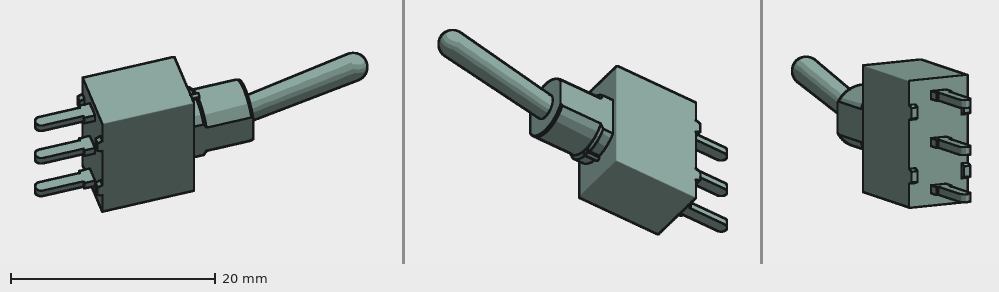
import cadquery as cq
import math

case_width = 6.6
case_height = 12.7
case_depth = 9.45
cover_thickness = 0.8
edge_radius = 0.13

foot_width = 0.7
foot_root_height = 1.5
foot_tip_height = 1.05
foot_length = 0.5
foot_offset_z = 3.18

terminal_pitch = 4.7
terminal_thickness = 0.8
terminal_width = 1.2
terminal_length = 5.87
shoulder_width = 1.7
shoulder_length = 1.1

bushing_diameter = 6.2
bushing_length = 6.25
bushing_chamfer_length = 0.2
bushing_chamfer_depth = 0.08
flat_spacing = 5.25
collar_diameter = 6.86
collar_length = 1.45
collar_chamfer = 0.3
key_width = 0.55
key_span = 7.7
key_crown = 0.2

lever_tilt = 13.2
pivot_diameter = 2.54
tip_radius = 1.4
overall_length = 34.05
tip_center_y = overall_length - case_depth - terminal_length - tip_radius
lever_length = (tip_center_y - bushing_length) / math.cos(math.radians(lever_tilt))


def post(diameter, length):
    """A round post standing on the mounting face and pointing to +Y."""
    return cq.Workplane("XZ").circle(diameter / 2).extrude(-length)


def block(width, height, y_back, y_front):
    """A block centred on the Y axis between two Y positions."""
    return cq.Workplane("XZ", origin=(0, y_front, 0)).rect(width, height).extrude(y_front - y_back)


def make_cover():
    """The plate on the +Y end of the case, rounded around its mounting face."""
    plate = block(case_width, case_height, -cover_thickness, 0)
    return plate.edges("|Y").fillet(edge_radius).faces(">Y").edges().fillet(edge_radius)


def make_foot(side, z):
    """A standoff foot, flush with the case side and tapered in Z toward its tip."""
    half_root = foot_root_height / 2
    half_tip = foot_tip_height / 2
    outline = [(0, -half_root), (-foot_length, -half_tip), (-foot_length, half_tip), (0, half_root)]
    center_x = side * (case_width - foot_width) / 2
    foot = cq.Workplane("YZ", origin=(center_x - foot_width / 2, -case_depth, z))
    return foot.polyline(outline).close().extrude(foot_width)


def make_terminal(z):
    """A terminal that stands on the case end and points to -Y."""
    half_shoulder = shoulder_width / 2
    half_blade = terminal_width / 2
    tip_start = half_blade - terminal_length
    blade = cq.Workplane("XY", origin=(0, -case_depth, z - terminal_thickness / 2))
    return (
        blade.moveTo(-half_shoulder, 0)
        .lineTo(-half_shoulder, -shoulder_length)
        .lineTo(-half_blade, -shoulder_length)
        .lineTo(-half_blade, tip_start)
        .threePointArc((0, -terminal_length), (half_blade, tip_start))
        .lineTo(half_blade, -shoulder_length)
        .lineTo(half_shoulder, -shoulder_length)
        .lineTo(half_shoulder, 0)
        .close()
        .extrude(terminal_thickness)
    )


def make_base():
    """The case below the cover plate, with its four feet."""
    base = block(case_width, case_height, -case_depth, -cover_thickness)
    base = base.edges("|Y").fillet(edge_radius)
    for side in (-1, 1):
        for z in (-foot_offset_z, foot_offset_z):
            base = base.union(make_foot(side, z))
    return base


def make_keys():
    """One bar through the collar, its rounded ends showing as the upper and the lower key."""
    half_width = key_width / 2
    half_span = key_span / 2
    side_top = half_span - key_crown
    return (
        cq.Workplane("XZ")
        .moveTo(-half_width, -side_top)
        .lineTo(-half_width, side_top)
        .threePointArc((0, half_span), (half_width, side_top))
        .lineTo(half_width, -side_top)
        .threePointArc((0, -half_span), (-half_width, -side_top))
        .close()
        .extrude(-collar_length)
    )


def make_bushing():
    """The bushing and collar, trimmed by the two flats, with the keys added."""
    bushing = post(bushing_diameter, bushing_length)
    bushing = bushing.faces(">Y").chamfer(bushing_chamfer_length, bushing_chamfer_depth)
    collar = post(collar_diameter, collar_length).faces(">Y").chamfer(collar_chamfer)
    bushing = bushing.union(collar)
    bushing = bushing.intersect(block(flat_spacing, key_span, 0, bushing_length))
    return bushing.union(make_keys())


def make_lever():
    """A tapered stick turned about its own axis, then tilted about the bushing mouth."""
    pivot_radius = pivot_diameter / 2
    on_diagonal = math.sin(math.pi / 4)
    pivot_middle = (pivot_radius * on_diagonal, -pivot_radius * on_diagonal)
    tip_middle = (tip_radius * on_diagonal, lever_length + tip_radius * on_diagonal)
    lever = (
        cq.Workplane("XY")
        .moveTo(0, -pivot_radius)
        .threePointArc(pivot_middle, (pivot_radius, 0))
        .lineTo(tip_radius, lever_length)
        .threePointArc(tip_middle, (0, lever_length + tip_radius))
        .close()
        .revolve(360, (0, 0, 0), (0, 1, 0))
    )
    return lever.rotate((0, 0, 0), (1, 0, 0), lever_tilt).translate((0, bushing_length, 0))


switch_body = make_base()
for feature in (make_cover(), make_bushing(), make_lever()):
    switch_body = switch_body.union(feature, clean=False)

terminals = [make_terminal(step * terminal_pitch) for step in (-1, 0, 1)]

result = cq.Compound.makeCompound([switch_body.solids().val(), *[terminal.val() for terminal in terminals]])